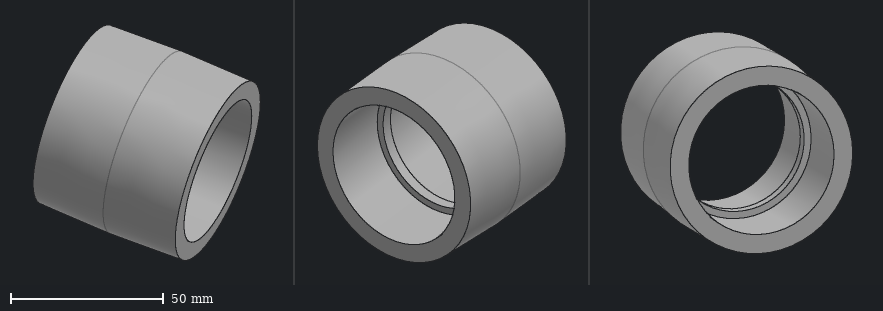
import cadquery as cq

length = 52.0
middle_diameter = 64.4
end_diameter = 63.0
socket_diameter = 50.0
bore_diameter = 45.2
stop_width = 4.0

half_length = length / 2
socket_depth = (length - stop_width) / 2


def tapered_body():
    """Solid of revolution about X, widest at mid-length."""
    profile = (
        cq.Workplane("XY")
        .moveTo(-half_length, 0)
        .lineTo(-half_length, end_diameter / 2)
        .lineTo(0, middle_diameter / 2)
        .lineTo(half_length, end_diameter / 2)
        .lineTo(half_length, 0)
        .close()
    )
    return profile.revolve(360, (0, 0, 0), (1, 0, 0))


def cylinder_along_x(start, diameter, depth):
    """Cylinder about the X axis running from start toward +X."""
    return cq.Workplane("YZ", origin=(start, 0, 0)).circle(diameter / 2).extrude(depth)


result = tapered_body().cut(cylinder_along_x(-half_length, bore_diameter, length))
for socket_start in (-half_length, half_length - socket_depth):
    result = result.cut(cylinder_along_x(socket_start, socket_diameter, socket_depth))